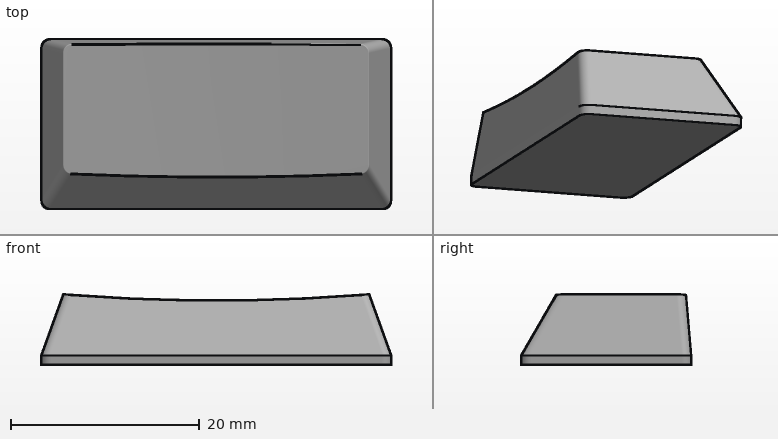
import cadquery as cq
import math

LENGTH = 37.05
WIDTH = 18.0
HEIGHT = 7.5

SKIRT_HEIGHT = 1.0
CORNER_RADIUS = 1.0

END_INSET = 2.35
FRONT_INSET = 3.75
BACK_INSET = 0.55

DISH_RADIUS = 200.07

RIM_RADIUS = 0.1


def make_skirt():
    """Straight-sided base with rounded corners."""
    skirt = cq.Workplane("XY").rect(LENGTH, WIDTH).extrude(SKIRT_HEIGHT)
    return skirt.edges("|Z").fillet(CORNER_RADIUS)


def make_tapered_body():
    """Four flat leaning walls from the skirt up to the full height, with rounded corners."""
    half_length = LENGTH / 2
    half_width = WIDTH / 2
    between_ends = (
        cq.Workplane("XZ")
        .moveTo(-half_length, SKIRT_HEIGHT)
        .lineTo(half_length, SKIRT_HEIGHT)
        .lineTo(half_length - END_INSET, HEIGHT)
        .lineTo(-half_length + END_INSET, HEIGHT)
        .close()
        .extrude(WIDTH, both=True)
    )
    between_front_and_back = (
        cq.Workplane("YZ")
        .moveTo(-half_width, SKIRT_HEIGHT)
        .lineTo(half_width, SKIRT_HEIGHT)
        .lineTo(half_width - BACK_INSET, HEIGHT)
        .lineTo(-half_width + FRONT_INSET, HEIGHT)
        .close()
        .extrude(LENGTH, both=True)
    )
    body = between_ends.intersect(between_front_and_back)
    leaning_edges = body.edges("not #Z")
    return leaning_edges.fillet(CORNER_RADIUS)


def make_dish():
    """Cylinder whose underside scoops the top and meets its two ends at the full height."""
    half_top = LENGTH / 2 - END_INSET
    axis_height = HEIGHT + math.sqrt(DISH_RADIUS**2 - half_top**2)
    return (
        cq.Workplane("XZ", origin=(0, 0, axis_height))
        .circle(DISH_RADIUS)
        .extrude(WIDTH, both=True)
    )


cap = make_tapered_body().cut(make_dish())
cap = cap.faces(">Z").edges().fillet(RIM_RADIUS)
result = make_skirt().union(cap)